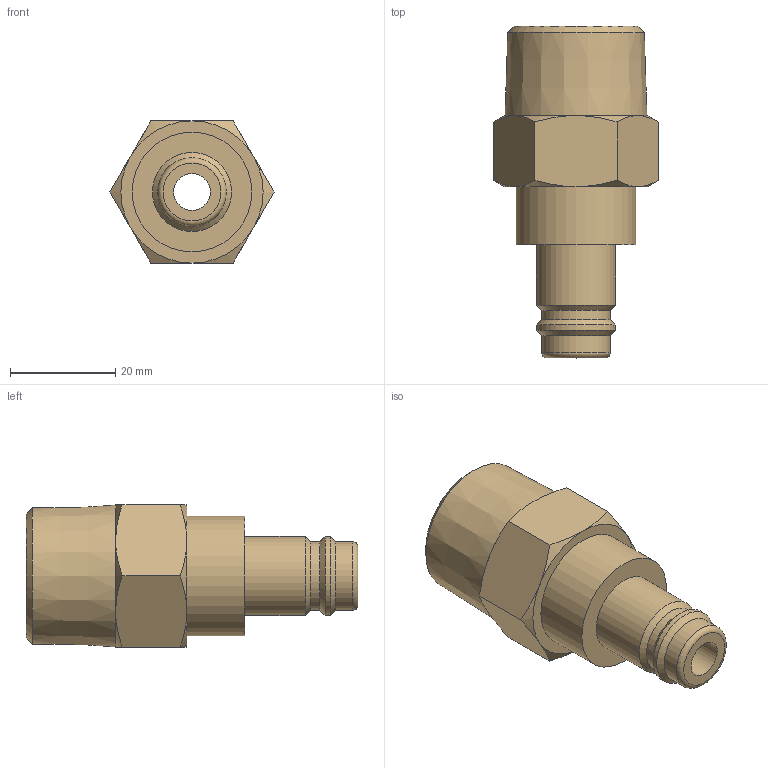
import cadquery as cq
import math

total_length = 63.0
bore_diameter = 7.0

nipple_radius = 7.5
groove_radius = 6.5
tip_fillet = 1.0
flank_length = nipple_radius - groove_radius
ring_start = 4.25
groove_start = 7.25
groove_end = 9.0

collar_start = 21.5
collar_radius = 11.35

hex_start = 32.5
hex_end = 46.0
hex_across_flats = 27.0
hex_corner_radius = hex_across_flats / math.sqrt(3)
hex_chamfer_angle = math.radians(30)
envelope_clearance = 1.0

gauge_length = 9.5
gauge_radius = 26.441 / 2
taper_slope = 1 / 32
thread_chamfer = 1.2
gauge_plane = total_length - gauge_length


def thread_radius(y):
    """Radius of the tapered thread envelope at axial position y."""
    return gauge_radius + (gauge_plane - y) * taper_slope


def revolve_about_y(profile):
    """Revolve a closed half profile (radius along X) about the Y axis."""
    return profile.close().revolve(360, (0, 0, 0), (0, 1, 0))


def make_nipple_and_collar():
    fillet_mid = tip_fillet * (1 - math.sqrt(0.5))
    profile = (
        cq.Workplane("XY")
        .moveTo(0, 0)
        .lineTo(groove_radius - tip_fillet, 0)
        .threePointArc((groove_radius - fillet_mid, fillet_mid), (groove_radius, tip_fillet))
        .lineTo(groove_radius, ring_start)
        .lineTo(nipple_radius, ring_start + flank_length)
        .lineTo(nipple_radius, groove_start - flank_length)
        .lineTo(groove_radius, groove_start)
        .lineTo(groove_radius, groove_end)
        .lineTo(nipple_radius, groove_end + flank_length)
        .lineTo(nipple_radius, collar_start)
        .lineTo(collar_radius, collar_start)
        .lineTo(collar_radius, hex_start)
        .lineTo(0, hex_start)
    )
    return revolve_about_y(profile)


def make_hexagon():
    prism = (
        cq.Workplane("XZ", origin=(0, hex_start, 0))
        .polygon(6, 2 * hex_corner_radius)
        .extrude(hex_start - hex_end)
    )
    face_radius = hex_across_flats / 2
    envelope_radius = hex_corner_radius + envelope_clearance
    cone_length = (envelope_radius - face_radius) * math.tan(hex_chamfer_angle)
    envelope = (
        cq.Workplane("XY")
        .moveTo(0, hex_start)
        .lineTo(face_radius, hex_start)
        .lineTo(envelope_radius, hex_start + cone_length)
        .lineTo(envelope_radius, hex_end - cone_length)
        .lineTo(face_radius, hex_end)
        .lineTo(0, hex_end)
    )
    return prism.intersect(revolve_about_y(envelope))


def make_thread():
    chamfer_start = total_length - thread_chamfer
    chamfer_radius = thread_radius(chamfer_start)
    profile = (
        cq.Workplane("XY")
        .moveTo(0, hex_end)
        .lineTo(thread_radius(hex_end), hex_end)
        .lineTo(chamfer_radius, chamfer_start)
        .lineTo(chamfer_radius - thread_chamfer, total_length)
        .lineTo(0, total_length)
    )
    return revolve_about_y(profile)


def make_bore():
    return cq.Workplane("XZ").circle(bore_diameter / 2).extrude(-total_length)


result = make_nipple_and_collar().union(make_hexagon()).union(make_thread()).cut(make_bore())